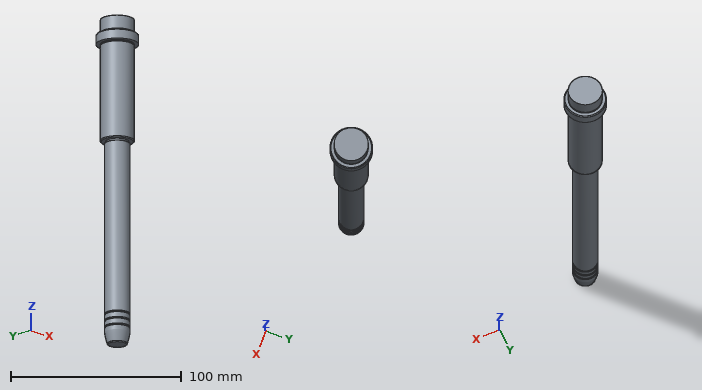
import cadquery as cq

length = 200.0

collar_radius = 12.5
sleeve_radius = 10.0
stem_radius = 7.5

collar_top = length - 9.0
collar_bottom = collar_top - 6.0
sleeve_bottom = length - 75.0
tip_top = 7.0

collar_chamfer = 0.5
sleeve_chamfer = 0.5

collar_relief_width = 1.0
collar_relief_depth = 0.2
stem_relief_width = 1.2
stem_relief_depth = 0.5

groove_count = 3
groove_pitch = 4.0
groove_width = 1.0
groove_depth = 0.5
lowest_groove_center = 10.5

tip_end_radius = 6.0
tip_bulge = 0.15
tip_chamfer = 0.5


def cylinder(radius, bottom, top):
    return cq.Workplane("XY").workplane(offset=bottom).circle(radius).extrude(top - bottom)


def ring_cut(radius, depth, bottom, width):
    """Ring that cuts a square groove into a cylinder of the given radius."""
    outer = cylinder(radius + depth, bottom, bottom + width)
    return outer.cut(cylinder(radius - depth, bottom, bottom + width))


def vee_cut(radius, depth, bottom, width):
    """Ring that cuts a V groove into a cylinder of the given radius."""
    return (
        cq.Workplane("XZ")
        .moveTo(radius - depth, bottom + width / 2)
        .lineTo(radius, bottom)
        .lineTo(radius + depth, bottom)
        .lineTo(radius + depth, bottom + width)
        .lineTo(radius, bottom + width)
        .close()
        .revolve(360, (0, 0, 0), (0, 1, 0))
    )


def make_sleeve():
    sleeve = cylinder(sleeve_radius, sleeve_bottom, length)
    sleeve = sleeve.faces("<Z").chamfer(sleeve_chamfer)
    for bottom in (collar_top, collar_bottom - collar_relief_width):
        sleeve = sleeve.cut(vee_cut(sleeve_radius, collar_relief_depth, bottom, collar_relief_width))
    return sleeve


def make_collar():
    collar = cylinder(collar_radius, collar_bottom, collar_top)
    return collar.faces(">Z").chamfer(collar_chamfer)


def make_stem():
    stem = cylinder(stem_radius, tip_top, sleeve_bottom)
    relief_bottom = sleeve_bottom - stem_relief_width
    stem = stem.cut(ring_cut(stem_radius, stem_relief_depth, relief_bottom, stem_relief_width))
    for index in range(groove_count):
        bottom = lowest_groove_center + index * groove_pitch - groove_width / 2
        stem = stem.cut(vee_cut(stem_radius, groove_depth, bottom, groove_width))
    return stem


def make_tip():
    middle = ((stem_radius + tip_end_radius) / 2 + tip_bulge, (tip_top + tip_chamfer) / 2)
    return (
        cq.Workplane("XZ")
        .moveTo(0, 0)
        .lineTo(tip_end_radius - tip_chamfer, 0)
        .lineTo(tip_end_radius, tip_chamfer)
        .threePointArc(middle, (stem_radius, tip_top))
        .lineTo(0, tip_top)
        .close()
        .revolve(360, (0, 0, 0), (0, 1, 0))
    )


result = make_sleeve().union(make_collar()).union(make_stem()).union(make_tip())